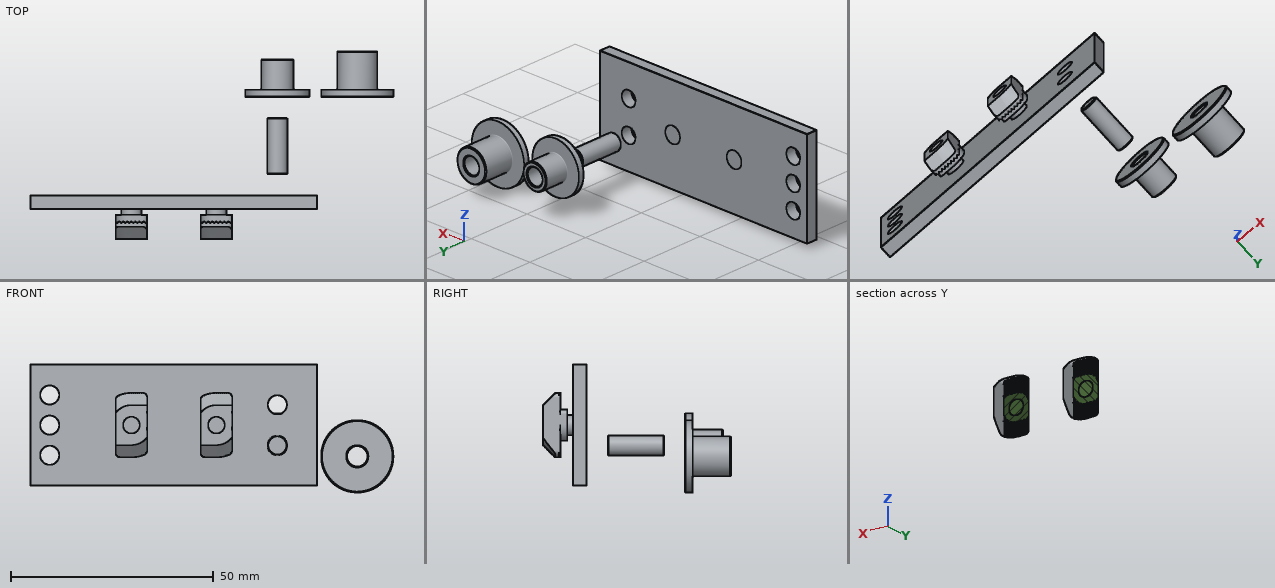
import cadquery as cq
import math


plate_length = 70.95
plate_height = 30.0
plate_thickness = 3.5
plate_chamfer = 0.1
plate_hole_diameter = 4.7
end_hole_x = 4.8
end_hole_pitch = 7.45
pin_hole_inset = 9.9
pin_hole_x = plate_length - pin_hole_inset
pin_hole_z = 5.0

nut_positions_x = [25.0, 46.0]
nut_width = 7.8
nut_swing_diameter = 16.0
nut_corner_radius = 1.2
nut_gap = 1.35
boss_height = 1.6
nut_body_thickness = 4.4
nut_bevel = 3.05
tooth_count = 7
toothed_width = 7.0
tooth_depth = 0.45
nut_bore_diameter = 4.1

screw_diameter = 5.0
screw_end_recess = 1.1

pin_diameter = 5.0
pin_length = 14.0
pin_front_y = 8.6
pin_chamfer = 0.3

bushing_front_y = 27.7
flange_thickness = 2.0
bushing_bore_diameter = 5.0
bushing_chamfer = 0.3
bushing_neck_fillet = 0.2
small_flange_diameter = 16.0
small_sleeve_diameter = 8.0
small_sleeve_length = 7.5
large_flange_diameter = 18.0
large_sleeve_diameter = 10.0
large_sleeve_length = 9.5
large_bushing_x = 80.8
large_bushing_z = -7.7

boss_back_y = -nut_gap
body_back_y = boss_back_y - boss_height
nut_front_y = body_back_y - nut_body_thickness
screw_end_y = nut_front_y + screw_end_recess


def cylinder_along_y(diameter, x, z, start_y, end_y):
    base = cq.Workplane("XZ", origin=(x, start_y, z))
    return base.circle(diameter / 2).extrude(start_y - end_y)


def make_plate():
    plate = cq.Workplane("XY").box(
        plate_length, plate_thickness, plate_height, centered=(False, False, True)
    )
    plate = plate.edges().chamfer(plate_chamfer)
    holes = [(end_hole_x, row * end_hole_pitch, plate_hole_diameter) for row in (-1, 0, 1)]
    holes += [(pin_hole_x, side * pin_hole_z, plate_hole_diameter) for side in (-1, 1)]
    holes += [(x, 0, screw_diameter) for x in nut_positions_x]
    for x, z, diameter in holes:
        plate = plate.cut(cylinder_along_y(diameter, x, z, plate_thickness, 0))
    return plate


def swing_envelope(radius, back_y, front_y):
    """Space a turning block may fill: round at the upper left and lower right, square elsewhere."""
    depth = back_y - front_y
    base = cq.Workplane("XZ", origin=(0, back_y, 0))
    square_centers = [(radius / 2, radius / 2), (-radius / 2, -radius / 2)]
    squares = base.pushPoints(square_centers).rect(radius, radius).extrude(depth)
    return base.circle(radius).extrude(depth).union(squares)


def quarter_turn_block(height, back_y, front_y):
    """Block as wide as the nut, cut to the unbevelled envelope, with its sharp corners filleted."""
    flanks = cq.Workplane("XZ", origin=(0, back_y, 0)).rect(nut_width, height)
    block = flanks.extrude(back_y - front_y)
    block = block.intersect(swing_envelope(height / 2, back_y, front_y))

    half_width = nut_width / 2
    corners = [(half_width, height / 2), (-half_width, -height / 2)]
    if height > nut_width:
        arc_end_z = math.sqrt((height / 2) ** 2 - half_width**2)
        corners += [(half_width, -arc_end_z), (-half_width, arc_end_z)]
    middle_y = (back_y + front_y) / 2
    for x, z in corners:
        corner_edge = cq.selectors.NearestToPointSelector((x, middle_y, z))
        block = block.edges(corner_edge).fillet(nut_corner_radius)
    return block


def make_tooth_grooves():
    """V grooves along Z that leave a row of teeth, with one tooth on the nut's centre line."""
    pitch = toothed_width / tooth_count
    valleys = [(index - tooth_count / 2) * pitch for index in range(tooth_count + 1)]
    grooves = cq.Workplane("XY", origin=(0, 0, -nut_swing_diameter / 2))
    for x in valleys:
        grooves = grooves.moveTo(x - pitch / 2, body_back_y)
        grooves = grooves.lineTo(x, body_back_y - tooth_depth)
        grooves = grooves.lineTo(x + pitch / 2, body_back_y).close()
    return grooves.extrude(nut_swing_diameter)


def make_nut(x):
    body = quarter_turn_block(nut_swing_diameter, body_back_y, nut_front_y)
    bevelled_envelope = swing_envelope(nut_swing_diameter / 2, body_back_y, nut_front_y)
    bevelled_envelope = bevelled_envelope.faces("<Y").chamfer(nut_bevel)
    body = body.intersect(bevelled_envelope)
    body = body.cut(make_tooth_grooves())
    boss = quarter_turn_block(nut_width, boss_back_y, body_back_y - tooth_depth)
    bore = cylinder_along_y(nut_bore_diameter, 0, 0, boss_back_y, nut_front_y)
    return body.union(boss).cut(bore).translate((x, 0, 0))


def make_screw(x):
    """Screw flush with the plate's back, with a thinner tip that fills the nut's bore."""
    shank = cylinder_along_y(screw_diameter, x, 0, plate_thickness, boss_back_y)
    tip = cylinder_along_y(nut_bore_diameter, x, 0, boss_back_y, screw_end_y)
    return shank.union(tip)


def make_pin():
    pin = cylinder_along_y(
        pin_diameter, pin_hole_x, -pin_hole_z, pin_front_y + pin_length, pin_front_y
    )
    return pin.edges().chamfer(pin_chamfer)


def make_bushing(flange_diameter, sleeve_diameter, sleeve_length, x, z):
    """Flanged bushing turned about an axis along Y, chamfered at its ends and filleted at its neck."""
    bore_radius = bushing_bore_diameter / 2
    flange_radius = flange_diameter / 2
    sleeve_radius = sleeve_diameter / 2
    front_y = bushing_front_y
    neck_y = front_y + flange_thickness
    back_y = neck_y + sleeve_length
    chamfer = bushing_chamfer
    fillet = bushing_neck_fillet
    fillet_offset = fillet * (1 - math.sqrt(0.5))

    profile = cq.Workplane("XY", origin=(x, 0, z)).moveTo(bore_radius + chamfer, front_y)
    profile = profile.lineTo(flange_radius - chamfer, front_y)
    profile = profile.lineTo(flange_radius, front_y + chamfer)
    profile = profile.lineTo(flange_radius, neck_y)
    profile = profile.lineTo(sleeve_radius + fillet, neck_y)
    profile = profile.threePointArc(
        (sleeve_radius + fillet_offset, neck_y + fillet_offset), (sleeve_radius, neck_y + fillet)
    )
    profile = profile.lineTo(sleeve_radius, back_y - chamfer)
    profile = profile.lineTo(sleeve_radius - chamfer, back_y)
    profile = profile.lineTo(bore_radius + chamfer, back_y)
    profile = profile.lineTo(bore_radius, back_y - chamfer)
    profile = profile.lineTo(bore_radius, front_y + chamfer).close()
    return profile.revolve(360, (0, 0, 0), (0, 1, 0))


plate = make_plate()
nuts = [make_nut(x) for x in nut_positions_x]
screws = [make_screw(x) for x in nut_positions_x]
pin = make_pin()
small_bushing = make_bushing(
    small_flange_diameter, small_sleeve_diameter, small_sleeve_length, pin_hole_x, -pin_hole_z
)
large_bushing = make_bushing(
    large_flange_diameter,
    large_sleeve_diameter,
    large_sleeve_length,
    large_bushing_x,
    large_bushing_z,
)

result = cq.Compound.makeCompound(
    [
        plate.val(),
        *[nut.val() for nut in nuts],
        *[screw.val() for screw in screws],
        pin.val(),
        small_bushing.val(),
        large_bushing.val(),
    ]
)